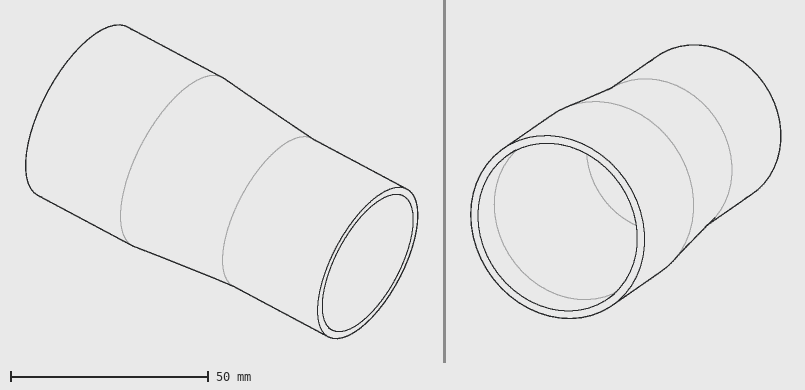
import cadquery as cq

length = 90.0
large_outer_diameter = 48.3
large_inner_diameter = 44.3
small_outer_diameter = 42.4
small_inner_diameter = 38.4

straight_end_length = length / 3

large_bore_depth = length / 9


def stepped_taper(large_diameter, small_diameter, large_end_length, small_end_length):
    """Solid of revolution: large cylinder, cone, small cylinder, over the full length."""
    large_radius = large_diameter / 2
    small_radius = small_diameter / 2
    large_face = -length / 2
    small_face = length / 2
    return (
        cq.Workplane("XY")
        .moveTo(large_face, 0)
        .lineTo(large_face, large_radius)
        .lineTo(large_face + large_end_length, large_radius)
        .lineTo(small_face - small_end_length, small_radius)
        .lineTo(small_face, small_radius)
        .lineTo(small_face, 0)
        .close()
        .revolve(360, (0, 0, 0), (1, 0, 0))
    )


outer_body = stepped_taper(
    large_outer_diameter, small_outer_diameter, straight_end_length, straight_end_length
)
bore = stepped_taper(
    large_inner_diameter, small_inner_diameter, large_bore_depth, straight_end_length
)

result = outer_body.cut(bore)